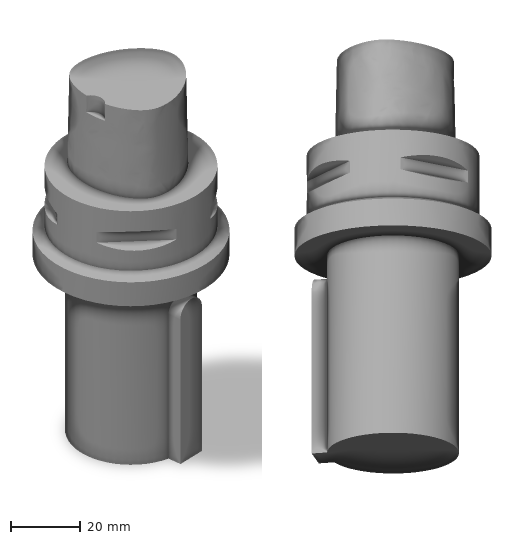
import cadquery as cq
import math

total_height = 120.0
shank_diameter = 38.2
shank_height = 60.0
flange_diameter = 57.0
flange_edge_z = 68.2
collar_diameter = 50.0
collar_base_z = 70.0
collar_top_z = 90.2

spigot_base_radius = 17.5
spigot_top_radius = 16.9
lobe_height = 1.12
lobe_count = 3
lobe_direction = math.pi / 2
spigot_points = 48

notch_radius = 4.2
notch_depth = 5.6
notch_floor_y = -13.7

groove_count = 4
groove_first_angle = 45.0
groove_z = 80.0
groove_floor_distance = 22.2
groove_floor_height = 3.6
groove_mouth_height = 6.6

key_width = 9.5
key_top_z = 54.1
key_outer_x = 23.0


def make_body():
    shank_radius = shank_diameter / 2
    flange_radius = flange_diameter / 2
    collar_radius = collar_diameter / 2
    half_section = [
        (0, 0),
        (shank_radius, 0),
        (shank_radius, shank_height),
        (flange_radius, shank_height),
        (flange_radius, flange_edge_z),
        (collar_radius, collar_base_z),
        (collar_radius, collar_top_z),
        (0, collar_top_z),
    ]
    return cq.Workplane("XZ").polyline(half_section).close().revolve(360, (0, 0), (0, 1))


def lobed_wire(mean_radius, z):
    """Constant-width outline whose tangent distance is mean_radius plus a three-lobed wave."""
    points = []
    for index in range(spigot_points):
        angle = 2 * math.pi * index / spigot_points
        wave = lobe_count * (angle - lobe_direction)
        distance = mean_radius + lobe_height * math.cos(wave)
        slope = -lobe_count * lobe_height * math.sin(wave)
        x = distance * math.cos(angle) - slope * math.sin(angle)
        y = distance * math.sin(angle) + slope * math.cos(angle)
        points.append(cq.Vector(x, y, z))
    return cq.Wire.assembleEdges([cq.Edge.makeSpline(points, periodic=True)])


def make_spigot():
    base = lobed_wire(spigot_base_radius, collar_top_z)
    top = lobed_wire(spigot_top_radius, total_height)
    return cq.Workplane(cq.Solid.makeLoft([base, top], True))


def make_notch():
    return (
        cq.Workplane("XY", origin=(0, notch_floor_y - notch_radius, total_height - notch_depth))
        .circle(notch_radius)
        .extrude(notch_depth)
    )


def make_groove(angle):
    """Straight cut across the collar with a flat floor and flared side walls."""
    mouth_distance = collar_diameter / 2
    flare = (groove_mouth_height - groove_floor_height) / (mouth_distance - groove_floor_distance)
    cutter_distance = flange_diameter / 2
    cutter_height = groove_floor_height + flare * (cutter_distance - groove_floor_distance)
    profile = [
        (groove_floor_distance, groove_z - groove_floor_height / 2),
        (cutter_distance, groove_z - cutter_height / 2),
        (cutter_distance, groove_z + cutter_height / 2),
        (groove_floor_distance, groove_z + groove_floor_height / 2),
    ]
    cutter = cq.Workplane("XZ").polyline(profile).close().extrude(collar_diameter / 2, both=True)
    return cutter.rotate((0, 0, 0), (0, 0, 1), angle)


def make_key():
    """Flat key running to the bottom of the shank, with a half-round upper end."""
    half_width = key_width / 2
    shoulder_z = key_top_z - half_width
    return (
        cq.Workplane("YZ")
        .moveTo(-half_width, 0)
        .lineTo(half_width, 0)
        .lineTo(half_width, shoulder_z)
        .threePointArc((0, key_top_z), (-half_width, shoulder_z))
        .close()
        .extrude(key_outer_x)
    )


result = make_body().union(make_spigot()).union(make_key()).cut(make_notch())
for groove_index in range(groove_count):
    groove_angle = groove_first_angle + groove_index * 360 / groove_count
    result = result.cut(make_groove(groove_angle))